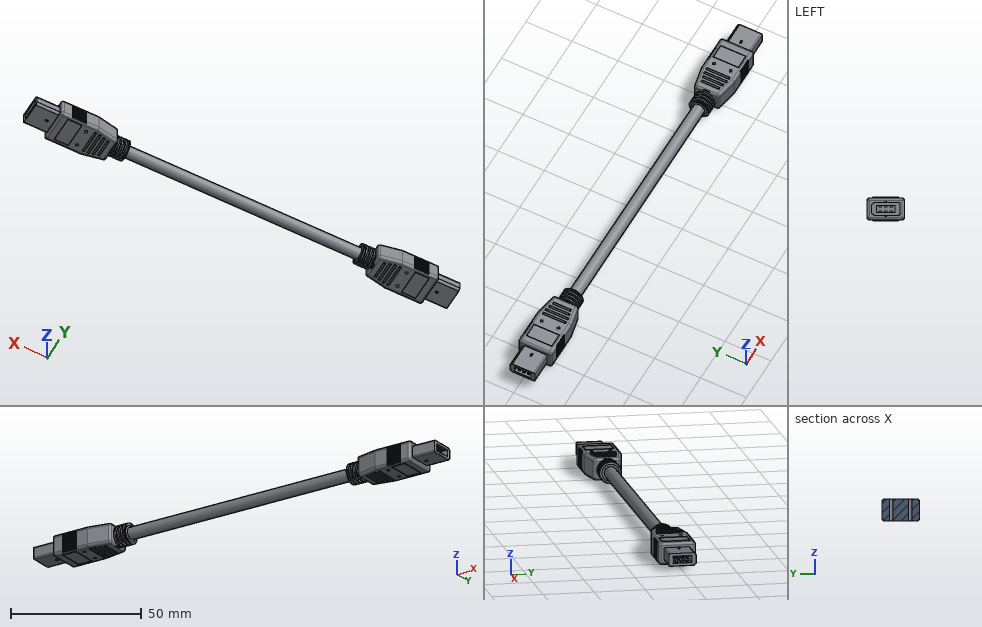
import cadquery as cq

TOTAL_LENGTH = 185.5
TIP_X = -TOTAL_LENGTH / 2
CABLE_DIAMETER = 5.0

SHELL_LENGTH = 10.0
SHELL_WIDTH = 10.8
SHELL_HEIGHT = 5.0
SHELL_KEY_CHAMFER = 1.0
SHELL_RADIUS = 0.5
SOCKET_WIDTH = 7.2
SOCKET_HEIGHT = 2.8
SOCKET_DEPTH = 8.3
CONTACTS_PER_ROW = 3
CONTACT_PITCH = 2.0
CONTACT_WIDTH = 1.0
CONTACT_HEIGHT = 0.5
CONTACT_START_X = 1.0
BUMP_X = 7.2
BUMP_LENGTH = 1.1
BUMP_WIDTH = 0.5
BUMP_HEIGHT = 0.4
BUMP_RADIUS = 0.2

GRIP_WIDTH = 14.5
GRIP_END_WIDTH = 10.8
GRIP_HEIGHT = 8.5
GRIP_END_X = 35.6
TAPER_START_X = 26.2
GRIP_RADIUS = 1.1
GRIP_END_RADIUS = 1.0

FLANK_GROOVE_COUNT = 6
FLANK_GROOVE_START_X = 14.7
FLANK_GROOVE_PITCH = 1.1
FLANK_GROOVE_WIDTH = 0.5
FLANK_GROOVE_DEPTH = 0.4

LABEL_START_X = 13.5
LABEL_END_X = 19.7
LABEL_WIDTH = 11.0
LABEL_DEPTH = 0.2

HOLE_X = 22.5
HOLE_SPACING = 7.2
HOLE_DIAMETER = 1.1

RIB_HEIGHT = 9.0
RIB_LENGTHS = [10.0, 9.8, 8.9, 7.8]
RIB_START_X = 26.0
RIB_PITCH = 2.0
RIB_WIDTH = 1.0
RIB_RADIUS = 0.28

RELIEF_END_X = 41.5
RELIEF_DIAMETER = GRIP_HEIGHT
RELIEF_GROOVE_COUNT = 4
RELIEF_GROOVE_START_X = 35.8
RELIEF_GROOVE_PITCH = 1.7
RELIEF_GROOVE_WIDTH = 1.0
RELIEF_GROOVE_DEPTH = 1.0


def box_between(start_x, end_x, width, height, centre_y=0.0):
    """Box spanning an X range, centred on centre_y and on the XY plane."""
    return cq.Workplane("XY").box(end_x - start_x, width, height).translate(
        ((start_x + end_x) / 2, centre_y, 0)
    )


def make_socket_void():
    """Open space inside the shell: a rectangular pocket less its two rows of contacts."""
    void = box_between(0, SOCKET_DEPTH, SOCKET_WIDTH, SOCKET_HEIGHT)
    for index in range(CONTACTS_PER_ROW):
        contact_y = (index - (CONTACTS_PER_ROW - 1) / 2) * CONTACT_PITCH
        void = void.cut(box_between(CONTACT_START_X, SOCKET_DEPTH, CONTACT_WIDTH, SOCKET_HEIGHT, contact_y))
    gap_height = SOCKET_HEIGHT - 2 * CONTACT_HEIGHT
    return void.union(box_between(0, SOCKET_DEPTH, SOCKET_WIDTH, gap_height))


def make_shell():
    """Metal connector shell with its tip at X = 0."""
    shell = box_between(0, SHELL_LENGTH, SHELL_WIDTH, SHELL_HEIGHT)
    shell = shell.edges("|X and >Y").chamfer(SHELL_KEY_CHAMFER)
    shell = shell.edges("|X and <Y").fillet(SHELL_RADIUS)
    bumps = box_between(
        BUMP_X - BUMP_LENGTH / 2, BUMP_X + BUMP_LENGTH / 2, BUMP_WIDTH, SHELL_HEIGHT + 2 * BUMP_HEIGHT
    )
    bumps = bumps.faces("<Z or >Z").edges().fillet(BUMP_RADIUS)
    return shell.union(bumps).cut(make_socket_void())


def make_grip_block():
    """Rounded block whose flanks taper inward towards the cable."""
    half_width = GRIP_WIDTH / 2
    half_end_width = GRIP_END_WIDTH / 2
    block = (
        cq.Workplane("XY")
        .workplane(offset=-GRIP_HEIGHT / 2)
        .moveTo(SHELL_LENGTH, -half_width)
        .lineTo(TAPER_START_X, -half_width)
        .lineTo(GRIP_END_X, -half_end_width)
        .lineTo(GRIP_END_X, half_end_width)
        .lineTo(TAPER_START_X, half_width)
        .lineTo(SHELL_LENGTH, half_width)
        .close()
        .extrude(GRIP_HEIGHT)
    )
    block = block.faces("<Z or >Z").edges("not(<X or >X)").fillet(GRIP_RADIUS)
    return block.faces("<X or >X").edges().fillet(GRIP_END_RADIUS)


def make_relief():
    """Ringed strain relief, a cylinder with grooves around it."""
    radius = RELIEF_DIAMETER / 2
    start_x = GRIP_END_X - GRIP_END_RADIUS
    relief = cq.Workplane("YZ").workplane(offset=start_x).circle(radius).extrude(RELIEF_END_X - start_x)
    for index in range(RELIEF_GROOVE_COUNT):
        groove_x = RELIEF_GROOVE_START_X + index * RELIEF_GROOVE_PITCH
        groove = (
            cq.Workplane("YZ")
            .workplane(offset=groove_x - RELIEF_GROOVE_WIDTH / 2)
            .circle(radius + RELIEF_GROOVE_DEPTH)
            .circle(radius - RELIEF_GROOVE_DEPTH)
            .extrude(RELIEF_GROOVE_WIDTH)
        )
        relief = relief.cut(groove)
    return relief


def cut_flank_grooves(grip):
    """Cut the row of fine vertical grooves into both flanks."""
    core_width = GRIP_WIDTH - 2 * FLANK_GROOVE_DEPTH
    for index in range(FLANK_GROOVE_COUNT):
        start_x = FLANK_GROOVE_START_X + index * FLANK_GROOVE_PITCH
        end_x = start_x + FLANK_GROOVE_WIDTH
        groove = box_between(start_x, end_x, 2 * GRIP_WIDTH, GRIP_HEIGHT).cut(
            box_between(start_x, end_x, core_width, GRIP_HEIGHT)
        )
        grip = grip.cut(groove)
    return grip


def cut_label_recesses(grip):
    """Cut the shallow label recess into the top and bottom faces."""
    recesses = box_between(LABEL_START_X, LABEL_END_X, LABEL_WIDTH, GRIP_HEIGHT).cut(
        box_between(LABEL_START_X, LABEL_END_X, LABEL_WIDTH, GRIP_HEIGHT - 2 * LABEL_DEPTH)
    )
    return grip.cut(recesses)


def cut_holes(grip):
    """Cut the pair of holes right through the grip."""
    holes = (
        cq.Workplane("XY")
        .workplane(offset=-GRIP_HEIGHT)
        .pushPoints([(HOLE_X, -HOLE_SPACING / 2), (HOLE_X, HOLE_SPACING / 2)])
        .circle(HOLE_DIAMETER / 2)
        .extrude(2 * GRIP_HEIGHT)
    )
    return grip.cut(holes)


def add_cross_ribs(grip):
    """Add round-topped ribs across the top and bottom faces."""
    for index, rib_length in enumerate(RIB_LENGTHS):
        centre_x = RIB_START_X + index * RIB_PITCH
        rib = box_between(centre_x - RIB_WIDTH / 2, centre_x + RIB_WIDTH / 2, rib_length, RIB_HEIGHT)
        rib = rib.faces("<Z or >Z").edges().fillet(RIB_RADIUS)
        grip = grip.union(rib)
    return grip


def make_overmould():
    """Moulded grip and strain relief, butting against the shell and the cable."""
    overmould = make_grip_block()
    overmould = cut_flank_grooves(overmould)
    overmould = cut_label_recesses(overmould)
    overmould = cut_holes(overmould)
    overmould = add_cross_ribs(overmould)
    return overmould.union(make_relief())


def make_cable():
    """Straight round cable between the two strain reliefs."""
    start_x = TIP_X + RELIEF_END_X
    return (
        cq.Workplane("YZ").workplane(offset=start_x).circle(CABLE_DIAMETER / 2).extrude(-2 * start_x)
    )


cable = make_cable()
left_shell = make_shell().translate((TIP_X, 0, 0))
left_overmould = make_overmould().translate((TIP_X, 0, 0))

bodies = [cable.val()]
for left_body in (left_shell, left_overmould):
    bodies.append(left_body.solids().val())
    bodies.append(left_body.mirror("YZ").solids().val())

result = cq.Compound.makeCompound(bodies)